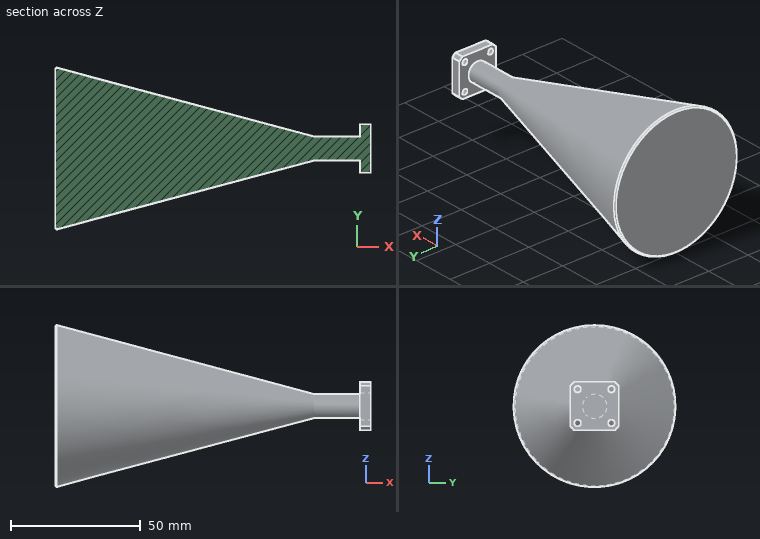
import cadquery as cq

length = 121.9
mouth_diameter = 62.7

rim_bevel = 0.6
cone_length = 100.0
neck_diameter = 9.4

flange_thickness = 4.3
flange_side = 18.8
flange_corner_chamfer = 1.6
hole_diameter = 2.5
hole_spacing = 13.0

mouth_x = -length / 2
cone_end_x = mouth_x + cone_length
flange_x = length / 2 - flange_thickness


def make_horn():
    """Revolve the solid cone, its bevelled rim and the straight neck."""
    mouth_radius = mouth_diameter / 2
    neck_radius = neck_diameter / 2
    return (
        cq.Workplane("XZ")
        .moveTo(mouth_x, 0)
        .lineTo(mouth_x, mouth_radius - rim_bevel)
        .lineTo(mouth_x + rim_bevel, mouth_radius)
        .lineTo(cone_end_x, neck_radius)
        .lineTo(flange_x, neck_radius)
        .lineTo(flange_x, 0)
        .close()
        .revolve(360, (0, 0, 0), (1, 0, 0))
    )


def make_flange():
    """Square plate with chamfered corners and four through holes."""
    plate = (
        cq.Workplane("YZ", origin=(flange_x, 0, 0))
        .rect(flange_side, flange_side)
        .extrude(flange_thickness)
        .edges("|X")
        .chamfer(flange_corner_chamfer)
    )
    holes = (
        cq.Workplane("YZ", origin=(flange_x, 0, 0))
        .rect(hole_spacing, hole_spacing, forConstruction=True)
        .vertices()
        .circle(hole_diameter / 2)
        .extrude(flange_thickness)
    )
    return plate.cut(holes)


result = make_horn().union(make_flange())